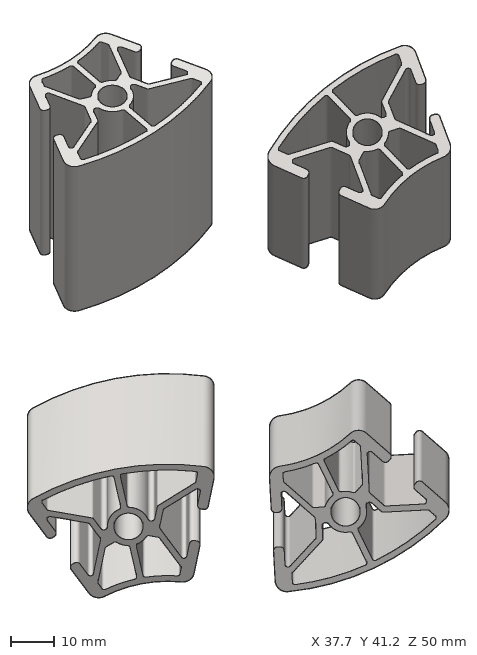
import cadquery as cq
import math


length = 50.0
sector_angle = 45.0
inner_radius = 30.0
outer_radius = 60.0
corner_fillet = 2.75
wall = 1.5

mid_radius = (inner_radius + outer_radius) / 2
bore_radius = 3.4
ring_radius = bore_radius + wall

slot_center = mid_radius
slot_opening = 8.2
lip_thickness = 2.5
slot_depth = 10.1
slot_floor_width = 4.85
lip_fillet = 1.0
slot_corner_fillet = 0.7
slot_floor_fillet = 0.8
slot_side_wall = 1.45

outer_pocket_base = 4.0
inner_pocket_base = 3.2
inner_pocket_side = 40.15
pocket_fillet = 0.6
notch_radius = 0.85

full_angle = math.radians(sector_angle)
half_angle = full_angle / 2
bore_x = mid_radius * math.cos(half_angle)
bore_y = mid_radius * math.sin(half_angle)
outer_wall_radius = outer_radius - wall
inner_wall_radius = inner_radius + wall
rib_offset = wall / 2
rib_ring_reach = math.sqrt(ring_radius**2 - rib_offset**2)
floor_wall_top = slot_depth + wall
slot_side_sum = slot_floor_width / 2 + slot_depth
pocket_side_sum = slot_side_sum + slot_side_wall * math.sqrt(2)


def on_circle(radius, angle):
    """Point on a circle about the origin."""
    return (radius * math.cos(angle), radius * math.sin(angle))


def on_ring(angle):
    """Point on the outside of the ring around the bore."""
    return (bore_x + ring_radius * math.cos(angle), bore_y + ring_radius * math.sin(angle))


def ring_angle(point):
    """Direction of a point as seen from the bore centre."""
    return math.atan2(point[1] - bore_y, point[0] - bore_x)


def ring_middle(start, end):
    """Point on the ring halfway between two points on it."""
    return on_ring((ring_angle(start) + ring_angle(end)) / 2)


def beside_rib(distance):
    """Point on the lower face of the radial rib, at a distance along the symmetry axis."""
    return (
        distance * math.cos(half_angle) + rib_offset * math.sin(half_angle),
        distance * math.sin(half_angle) - rib_offset * math.cos(half_angle),
    )


def rib_meets_circle(radius):
    """Point where the lower face of the rib meets a circle about the origin."""
    return beside_rib(math.sqrt(radius**2 - rib_offset**2))


def circle_at_height(radius, y):
    """Point at height y on a circle about the origin."""
    return (math.sqrt(radius**2 - y**2), y)


def arc_middle(radius, start, end):
    """Point halfway between two points on a circle about the origin."""
    return on_circle(radius, (math.atan2(start[1], start[0]) + math.atan2(end[1], end[0])) / 2)


def fillet_corners(solid, points, radius):
    """Round the lengthwise edges that stand on the given section points."""
    for x, y in points:
        edge = cq.selectors.NearestToPointSelector((x, y, length / 2))
        solid = solid.edges("|Z").edges(edge).fillet(radius)
    return solid


def mirrored(solid):
    """Copy of a solid reflected in the symmetry axis."""
    return solid.mirror("XZ").rotate((0, 0, 0), (0, 0, 1), sector_angle)


def make_body():
    sector = (
        cq.Workplane("XY")
        .moveTo(inner_radius, 0)
        .lineTo(outer_radius, 0)
        .threePointArc(on_circle(outer_radius, half_angle), on_circle(outer_radius, full_angle))
        .lineTo(*on_circle(inner_radius, full_angle))
        .threePointArc(on_circle(inner_radius, half_angle), (inner_radius, 0))
        .close()
        .extrude(length)
    )
    return sector.edges("|Z").fillet(corner_fillet)


def make_slot():
    half_opening = slot_opening / 2
    half_floor = slot_floor_width / 2
    half_cavity = slot_side_sum - lip_thickness
    right_side = [
        (half_opening, 0),
        (half_opening, lip_thickness),
        (half_cavity, lip_thickness),
        (half_floor, slot_depth),
    ]
    right = [(slot_center + x, y) for x, y in right_side]
    left = [(slot_center - x, y) for x, y in reversed(right_side)]
    slot = cq.Workplane("XY").polyline(right + left).close().extrude(length)
    slot = fillet_corners(slot, [right[1], left[2]], lip_fillet)
    slot = fillet_corners(slot, [right[2], left[1]], slot_corner_fillet)
    return fillet_corners(slot, [right[3], left[0]], slot_floor_fillet)


def make_outer_pocket():
    base_side = (slot_center + pocket_side_sum - outer_pocket_base, outer_pocket_base)
    base_arc = circle_at_height(outer_wall_radius, outer_pocket_base)
    rib_arc = rib_meets_circle(outer_wall_radius)
    rib_ring = beside_rib(mid_radius + rib_ring_reach)
    floor_end = (slot_center + pocket_side_sum - floor_wall_top, floor_wall_top)

    notch_y = floor_wall_top + notch_radius
    notch_x = bore_x + math.sqrt((ring_radius + notch_radius) ** 2 - (bore_y - notch_y) ** 2)
    notch_ring = on_ring(ring_angle((notch_x, notch_y)))
    notch_left = (notch_x - notch_radius, notch_y)
    notch_floor = (notch_x, floor_wall_top)

    pocket = (
        cq.Workplane("XY")
        .moveTo(*floor_end)
        .lineTo(*base_side)
        .lineTo(*base_arc)
        .threePointArc(arc_middle(outer_wall_radius, base_arc, rib_arc), rib_arc)
        .lineTo(*rib_ring)
        .threePointArc(ring_middle(rib_ring, notch_ring), notch_ring)
        .threePointArc(notch_left, notch_floor)
        .close()
        .extrude(length)
    )
    corners = [floor_end, base_side, base_arc, rib_arc, rib_ring]
    return fillet_corners(pocket, corners, pocket_fillet)


def make_inner_pocket():
    side_sum = pocket_side_sum - slot_center
    rib_ring = beside_rib(mid_radius - rib_ring_reach)
    side_ring_y = bore_y - math.sqrt(ring_radius**2 - (bore_x - inner_pocket_side) ** 2)
    side_ring = (inner_pocket_side, side_ring_y)
    side_low = (inner_pocket_side, inner_pocket_side + side_sum)
    base_side = (inner_pocket_base - side_sum, inner_pocket_base)
    base_arc = circle_at_height(inner_wall_radius, inner_pocket_base)
    rib_arc = rib_meets_circle(inner_wall_radius)

    pocket = (
        cq.Workplane("XY")
        .moveTo(*rib_ring)
        .threePointArc(ring_middle(rib_ring, side_ring), side_ring)
        .lineTo(*side_low)
        .lineTo(*base_side)
        .lineTo(*base_arc)
        .threePointArc(arc_middle(inner_wall_radius, base_arc, rib_arc), rib_arc)
        .close()
        .extrude(length)
    )
    corners = [rib_ring, side_ring, side_low, base_side, base_arc, rib_arc]
    return fillet_corners(pocket, corners, pocket_fillet)


def make_bore():
    return cq.Workplane("XY").center(bore_x, bore_y).circle(bore_radius).extrude(length)


def slot_mouth_corners():
    """Points where the slot opening breaks through both straight faces."""
    distances = [slot_center - slot_opening / 2, slot_center + slot_opening / 2]
    return [on_circle(distance, angle) for distance in distances for angle in (0, full_angle)]


result = make_body().cut(make_bore())
for cutter in (make_slot(), make_outer_pocket(), make_inner_pocket()):
    result = result.cut(cutter).cut(mirrored(cutter))
result = fillet_corners(result, slot_mouth_corners(), lip_fillet)